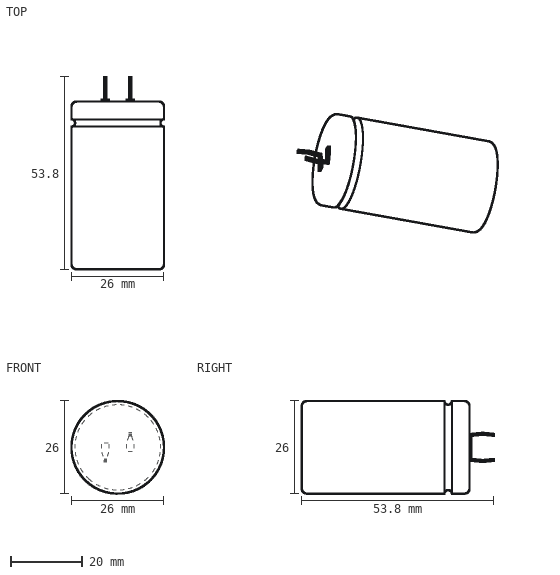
import cadquery as cq

total_length = 53.8
can_length = 47.0
can_radius = 26.0 / 2
end_fillet = 1.5

groove_radius = 1.0
groove_y = 41.0

pin_offset = 3.5
pin_width = 0.7
pin_thickness = 0.6
pin_kink = 0.3
foot_thickness = 0.55
foot_width = 2.1
foot_straight_length = 2.35


def make_can():
    can = cq.Workplane("XZ").circle(can_radius).extrude(-can_length)
    can = can.edges().fillet(end_fillet)
    groove = (
        cq.Workplane("XY")
        .center(can_radius, groove_y)
        .circle(groove_radius)
        .revolve(360, (-can_radius, 0), (-can_radius, 1))
    )
    return can.cut(groove)


def make_terminal():
    """Terminal on the +X, +Z side of the can axis."""
    pin_inner_z = pin_offset - pin_thickness / 2
    pin_outer_z = pin_offset + pin_thickness / 2
    foot_top_y = can_length + foot_thickness
    kink_y = (foot_top_y + total_length) / 2
    half_straight = foot_straight_length / 2

    half_outline = [
        (foot_width / 2, -half_straight),
        (foot_width / 2, half_straight),
        (pin_width / 2, pin_inner_z),
        (pin_width / 2, pin_outer_z),
    ]
    mirrored_half = [(-x, z) for x, z in reversed(half_outline)]
    foot = (
        cq.Workplane("XZ", origin=(pin_offset, can_length, 0))
        .polyline(half_outline + mirrored_half)
        .close()
        .extrude(-foot_thickness)
    )

    pin = (
        cq.Workplane("YZ", origin=(pin_offset, 0, 0))
        .moveTo(can_length, pin_inner_z)
        .lineTo(foot_top_y, pin_inner_z)
        .lineTo(kink_y, pin_inner_z + pin_kink)
        .lineTo(total_length, pin_inner_z)
        .lineTo(total_length, pin_outer_z)
        .lineTo(kink_y, pin_outer_z + pin_kink)
        .lineTo(foot_top_y, pin_outer_z)
        .lineTo(can_length, pin_outer_z)
        .close()
        .extrude(pin_width / 2, both=True)
    )
    return foot.union(pin)


terminal = make_terminal()
opposite_terminal = terminal.rotate((0, 0, 0), (0, 1, 0), 180)
result = make_can().union(terminal).union(opposite_terminal)